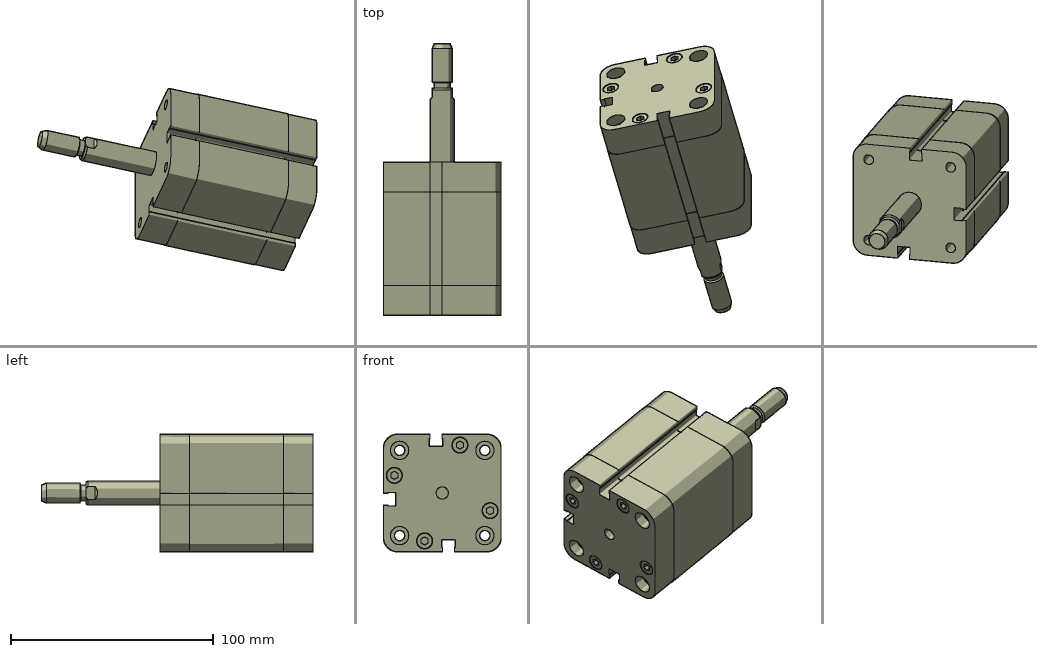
import cadquery as cq
TOTAL_LENGTH = 134.0
HOUSING_LENGTH = 75.6
CAP_LENGTH = 14.75
CAP_SIDE = 58.0
CAP_CORNER_RADIUS = 7.3
BARREL_SIDE = 58.1
BARREL_CORNER_RADIUS = 7.0

SLOT_OFFSET = 3.1
SLOT_MOUTH_WIDTH = 5.8
SLOT_INNER_WIDTH = 6.5
SLOT_LIP_DEPTH = 2.2
CAP_SLOT_DEPTH = 6.2
BARREL_SLOT_DEPTH = 6.0
SLOT_EDGE_RADIUS = 0.35
SLOT_ANGLES = (0, -90, 180)

MOUNT_OFFSET = 21.0
MOUNT_HOLE_DIAMETER = 4.92
MOUNT_BORE_DIAMETER = 9.0
MOUNT_BORE_DEPTH = 5.7

SCREW_OFFSET_ALONG = 8.7
SCREW_OFFSET_OUT = 23.6
SCREW_BORE_DIAMETER = 7.9
SCREW_HEAD_DIAMETER = 7.5
SCREW_BORE_DEPTH = 5.0
SCREW_HEAD_RECESS = 0.2
SOCKET_ACROSS_CORNERS = 4.0
SOCKET_DEPTH = 2.5

CENTRE_HOLE_DIAMETER = 6.0
CENTRE_HOLE_DEPTH = 5.0

ROD_DIAMETER = 12.0
ROD_CHAMFER_LENGTH = 1.0
ROD_CHAMFER_DEPTH = 0.6
THREAD_DIAMETER = 10.0
TIP_DIAMETER = 7.9
TIP_CHAMFER_LENGTH = 2.5
THREAD_LENGTH = 19.0
NECK_DIAMETER = 8.0
NECK_CHAMFER_LENGTH = 0.5
STUD_LENGTH = 22.0
ROD_END = TOTAL_LENGTH - STUD_LENGTH
FLAT_ACROSS = 10.0
FLAT_LENGTH = 4.4
FLAT_RUNOUT_LENGTH = 1.3


def along_y(start):
    """Workplane normal to +Y at the given Y, with local x = +X and local y = -Z."""
    return cq.Workplane("XZ", origin=(0, start, 0)).transformed(rotate=(180, 0, 0))


def rounded_block(side, radius, start, length):
    return along_y(start).rect(side, side).extrude(length).edges("|Y").fillet(radius)


def cylinder(diameter, start, length, x=0.0, z=0.0):
    return along_y(start).center(x, -z).circle(diameter / 2).extrude(length)


def turned_about_y(shape, angle):
    return shape.rotate((0, 0, 0), (0, 1, 0), angle)


def make_slot(side, depth, start, length):
    """T-slot cutter for the +Z side of a square section, with rounded mouth edges and floor corners."""
    top = side / 2
    shoulder = top - SLOT_LIP_DEPTH
    floor = top - depth
    mouth_half = SLOT_MOUTH_WIDTH / 2
    inner_half = SLOT_INNER_WIDTH / 2
    radius = SLOT_EDGE_RADIUS
    profile = (
        cq.Workplane("XZ", origin=(-SLOT_OFFSET, start, 0))
        .moveTo(-mouth_half - radius, top)
        .radiusArc((-mouth_half, top - radius), radius)
        .lineTo(-mouth_half, shoulder)
        .lineTo(-inner_half, shoulder)
        .lineTo(-inner_half, floor + radius)
        .radiusArc((-inner_half + radius, floor), -radius)
        .lineTo(inner_half - radius, floor)
        .radiusArc((inner_half, floor + radius), -radius)
        .lineTo(inner_half, shoulder)
        .lineTo(mouth_half, shoulder)
        .lineTo(mouth_half, top - radius)
        .radiusArc((mouth_half + radius, top), radius)
        .close()
    )
    return profile.extrude(-length)


def make_section(side, corner_radius, slot_depth, start, length):
    """One length of the housing: a rounded square block with its T-slots."""
    section = rounded_block(side, corner_radius, start, length)
    slot = make_slot(side, slot_depth, start, length)
    for angle in SLOT_ANGLES:
        section = section.cut(turned_about_y(slot, angle))
    return section


def make_cap(start):
    return make_section(CAP_SIDE, CAP_CORNER_RADIUS, CAP_SLOT_DEPTH, start, CAP_LENGTH)


def make_housing():
    rear_cap_start = HOUSING_LENGTH - CAP_LENGTH
    barrel = make_section(
        BARREL_SIDE, BARREL_CORNER_RADIUS, BARREL_SLOT_DEPTH, CAP_LENGTH, rear_cap_start - CAP_LENGTH
    )
    return barrel.union(make_cap(0)).union(make_cap(rear_cap_start))


def cut_mounting_holes(body):
    for x in (-MOUNT_OFFSET, MOUNT_OFFSET):
        for z in (-MOUNT_OFFSET, MOUNT_OFFSET):
            body = body.cut(cylinder(MOUNT_HOLE_DIAMETER, 0, HOUSING_LENGTH, x, z))
            body = body.cut(cylinder(MOUNT_BORE_DIAMETER, 0, MOUNT_BORE_DEPTH, x, z))
    return body


def make_screw_recess(x, z):
    """Clearance ring around a screw head, plus the hexagon socket in the head."""
    bore = cylinder(SCREW_BORE_DIAMETER, 0, SCREW_BORE_DEPTH, x, z)
    head = cylinder(
        SCREW_HEAD_DIAMETER, SCREW_HEAD_RECESS, SCREW_BORE_DEPTH - SCREW_HEAD_RECESS, x, z
    )
    socket = (
        along_y(SCREW_HEAD_RECESS)
        .center(x, -z)
        .transformed(rotate=(0, 0, 90))
        .polygon(6, SOCKET_ACROSS_CORNERS)
        .extrude(SOCKET_DEPTH)
    )
    return bore.cut(head).union(socket)


def add_cap_screws(body):
    screw_places = (
        (SCREW_OFFSET_ALONG, SCREW_OFFSET_OUT),
        (SCREW_OFFSET_OUT, -SCREW_OFFSET_ALONG),
        (-SCREW_OFFSET_ALONG, -SCREW_OFFSET_OUT),
        (-SCREW_OFFSET_OUT, SCREW_OFFSET_ALONG),
    )
    for x, z in screw_places:
        body = body.cut(make_screw_recess(x, z))
    return body


def make_rod():
    thread_end = TOTAL_LENGTH - THREAD_LENGTH
    rod_radius = ROD_DIAMETER / 2
    profile = [
        (0, HOUSING_LENGTH),
        (rod_radius, HOUSING_LENGTH),
        (rod_radius, ROD_END - ROD_CHAMFER_LENGTH),
        (rod_radius - ROD_CHAMFER_DEPTH, ROD_END),
        (NECK_DIAMETER / 2, ROD_END),
        (NECK_DIAMETER / 2, thread_end - NECK_CHAMFER_LENGTH),
        (THREAD_DIAMETER / 2, thread_end),
        (THREAD_DIAMETER / 2, TOTAL_LENGTH - TIP_CHAMFER_LENGTH),
        (TIP_DIAMETER / 2, TOTAL_LENGTH),
        (0, TOTAL_LENGTH),
    ]
    return cq.Workplane("XY").polyline(profile).close().revolve(360, (0, 0, 0), (0, 1, 0))


def cut_wrench_flats(rod):
    """Two flats across X at the rod shoulder, each running out on a slope."""
    flat_x = FLAT_ACROSS / 2
    outer_x = ROD_DIAMETER / 2
    cutter = (
        cq.Workplane("XY")
        .moveTo(flat_x, ROD_END)
        .lineTo(flat_x, ROD_END - FLAT_LENGTH)
        .lineTo(outer_x, ROD_END - FLAT_LENGTH - FLAT_RUNOUT_LENGTH)
        .lineTo(outer_x, ROD_END)
        .close()
        .extrude(outer_x, both=True)
    )
    return rod.cut(cutter).cut(cutter.mirror("YZ"))


housing = make_housing()
housing = cut_mounting_holes(housing)
housing = add_cap_screws(housing)
housing = housing.cut(cylinder(CENTRE_HOLE_DIAMETER, 0, CENTRE_HOLE_DEPTH))
result = housing.union(cut_wrench_flats(make_rod()))